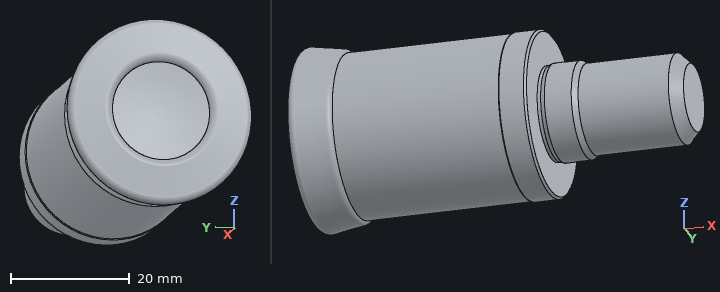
import cadquery as cq
import math

TOTAL_LENGTH = 68.0

RING_LENGTH = 8.5
RING_BORE_RADIUS = 8.4
RING_MOUTH_RADIUS = 9.8
RING_MOUTH_DEPTH = 0.8
RING_FRONT_EDGE_X = 0.8
RING_FRONT_EDGE_RADIUS = 14.8
RING_CREST_RADIUS = 15.9
RING_CREST_X = 2.45
RING_CREST_BULGE_X = 1.2
RING_CREST_BULGE_RADIUS = 15.7
RING_BACK_EDGE_X = 7.5
RING_BACK_EDGE_RADIUS = 15.1
RING_BACK_BULGE_X = 8.15
RING_BACK_BULGE_RADIUS = 14.8

SPIGOT_FACE_X = RING_MOUTH_DEPTH
DISH_DEPTH = 0.7
DISH_FLAT_RADIUS = 1.0
SHOULDER_X = 4.1
BARREL_RADIUS = 28.6 / 2
FLANGE_RADIUS = 29.0 / 2
FLANGE_START_X = 38.1
FLANGE_END_X = 42.85
FLANGE_CHAMFER = 0.4
NECK_RADIUS = 8.2
NECK_END_X = 43.45
BOSS_RADIUS = 17.0 / 2
BOSS_START_X = 44.2
BOSS_END_X = 48.95
SHANK_RADIUS = 15.8 / 2
SHANK_START_X = 50.0
SHANK_CHAMFER = 2.05


def revolve_about_x(profile):
    """Close a half profile drawn as (x, radius) and turn it about the X axis."""
    return profile.close().revolve(360, (0, 0, 0), (1, 0, 0))


def make_bumper_ring():
    """Flared ring with a rounded mouth, fitted over the front of the core."""
    mouth_width = RING_MOUTH_RADIUS - RING_BORE_RADIUS
    mouth_round = (RING_MOUTH_DEPTH**2 + mouth_width**2) / (2 * RING_MOUTH_DEPTH)
    mouth_half_angle = math.asin(mouth_width / mouth_round) / 2
    mouth_middle = (
        mouth_round * (1 - math.cos(mouth_half_angle)),
        RING_MOUTH_RADIUS - mouth_round * math.sin(mouth_half_angle),
    )
    profile = (
        cq.Workplane("XY")
        .moveTo(RING_MOUTH_DEPTH, RING_BORE_RADIUS)
        .threePointArc(mouth_middle, (0, RING_MOUTH_RADIUS))
        .lineTo(RING_FRONT_EDGE_X, RING_FRONT_EDGE_RADIUS)
        .threePointArc(
            (RING_CREST_BULGE_X, RING_CREST_BULGE_RADIUS),
            (RING_CREST_X, RING_CREST_RADIUS),
        )
        .lineTo(RING_BACK_EDGE_X, RING_BACK_EDGE_RADIUS)
        .threePointArc(
            (RING_BACK_BULGE_X, RING_BACK_BULGE_RADIUS),
            (RING_LENGTH, BARREL_RADIUS),
        )
        .lineTo(SHOULDER_X, BARREL_RADIUS)
        .lineTo(SHOULDER_X, RING_BORE_RADIUS)
    )
    return revolve_about_x(profile)


def make_core():
    """Turned core with a shallow dished front face and a stepped shank."""
    dish_floor_x = SPIGOT_FACE_X + DISH_DEPTH
    dish_round = (DISH_DEPTH**2 + RING_BORE_RADIUS**2 - DISH_FLAT_RADIUS**2) / (2 * DISH_DEPTH)
    dish_middle_radius = (RING_BORE_RADIUS + DISH_FLAT_RADIUS) / 2
    dish_middle = (
        dish_floor_x - (dish_middle_radius**2 - DISH_FLAT_RADIUS**2) / (2 * dish_round),
        dish_middle_radius,
    )
    flange_chamfer_start_x = FLANGE_START_X - (FLANGE_RADIUS - BARREL_RADIUS)
    profile = (
        cq.Workplane("XY")
        .moveTo(dish_floor_x, 0)
        .lineTo(dish_floor_x, DISH_FLAT_RADIUS)
        .threePointArc(dish_middle, (SPIGOT_FACE_X, RING_BORE_RADIUS))
        .lineTo(SHOULDER_X, RING_BORE_RADIUS)
        .lineTo(SHOULDER_X, BARREL_RADIUS)
        .lineTo(flange_chamfer_start_x, BARREL_RADIUS)
        .lineTo(FLANGE_START_X, FLANGE_RADIUS)
        .lineTo(FLANGE_END_X - FLANGE_CHAMFER, FLANGE_RADIUS)
        .lineTo(FLANGE_END_X, FLANGE_RADIUS - FLANGE_CHAMFER)
        .lineTo(FLANGE_END_X, NECK_RADIUS)
        .lineTo(NECK_END_X, NECK_RADIUS)
        .lineTo(BOSS_START_X, BOSS_RADIUS)
        .lineTo(BOSS_END_X, BOSS_RADIUS)
        .lineTo(SHANK_START_X, SHANK_RADIUS)
        .lineTo(TOTAL_LENGTH - SHANK_CHAMFER, SHANK_RADIUS)
        .lineTo(TOTAL_LENGTH, SHANK_RADIUS - SHANK_CHAMFER)
        .lineTo(TOTAL_LENGTH, 0)
    )
    return revolve_about_x(profile)


bumper_ring = make_bumper_ring()
core = make_core()

result = cq.Compound.makeCompound([bumper_ring.val(), core.val()])